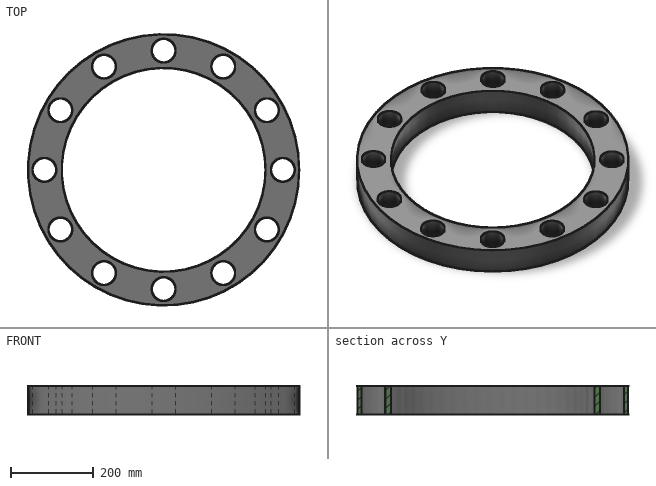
import cadquery as cq

outer_diameter = 660.0
bore_diameter = 495.0
thickness = 70.0

bolt_circle_diameter = 580.0
bolt_hole_diameter = 57.15
bolt_hole_count = 12


def ring_body():
    """Flat ring standing on the XY plane."""
    return (
        cq.Workplane("XY")
        .circle(outer_diameter / 2)
        .circle(bore_diameter / 2)
        .extrude(thickness)
    )


def bolt_holes():
    """Cylinders to cut away, the first one on the +X axis."""
    return (
        cq.Workplane("XY")
        .polarArray(bolt_circle_diameter / 2, 0, 360, bolt_hole_count)
        .circle(bolt_hole_diameter / 2)
        .extrude(thickness)
    )


result = ring_body().cut(bolt_holes())